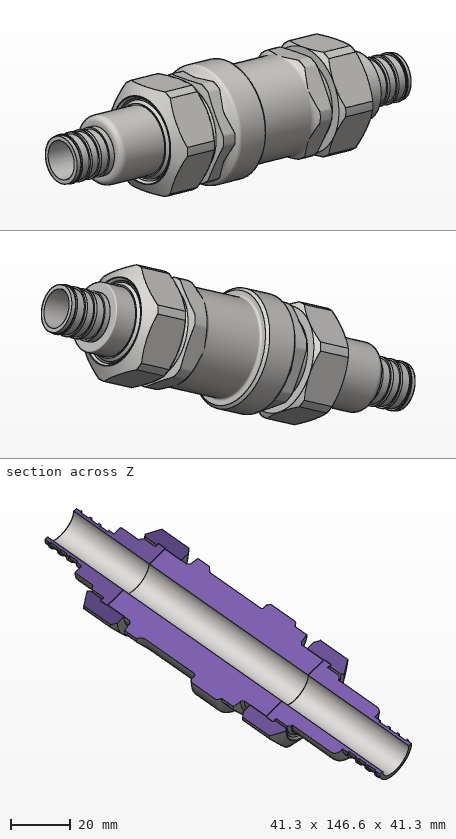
import cadquery as cq
import math

TOTAL_LENGTH = 146.6
HALF_LENGTH = TOTAL_LENGTH / 2
BORE_DIA = 13.5
FRONT = -1
REAR = 1

BODY_DIA = 34.6
COLLAR_DIA = 41.3
COLLAR_FRONT = -12.2
COLLAR_REAR = -0.3
COLLAR_CHAMFER = 1.0
COLLAR_EDGE_FILLET = 1.2
COLLAR_CONE_LENGTH = 2.2
COLLAR_FILLET = 0.9
HEX_FLATS = 34.7
HEX_CORNER_DIA = 38.1
HEX_CORNER_FILLET = 2.0
FRONT_HEX_END = -18.8
REAR_HEX_END = 29.8
HEX_END_CHAMFER = 0.5
HEX_END_CHAMFER_WIDTH = 2.3
REAR_HEX_LENGTH = 5.5
REAR_HEX_CONE_LENGTH = 1.5
CONE_FILLET = 1.8
CONE_RUNOUT = 1.5
NECK_DIA = 29.9
NECK_CHAMFER = 0.9
NECK_GAP = 3.2

NUT_LENGTH = 16.1
NUT_FLATS = 36.6
NUT_CORNER_DIA = 40.6
NUT_OUTER_FACE_DIA = 30.3
NUT_OUTER_CONE_LENGTH = 3.0
NUT_INNER_FACE_DIA = 36.6
NUT_INNER_CONE_LENGTH = 1.3
NECK_DEPTH = 7.3
FLANGE_THICKNESS = 3.0
NUT_HOLE_DIA = 28.3
NUT_HOLE_RIM_DIA = 29.9

SLEEVE_DIA = 24.0
SLEEVE_START = 16.1
SHOULDER_DIA = 27.0
SHOULDER_TIP_DIA = 25.0
FRONT_SLEEVE_FILLET = 2.2
REAR_SLEEVE_FILLET = 0.5
SPIGOT_DIA = 15.8
TIP_DIA = 16.4
RIB_DIA = 17.0
TIP_RIB = (1.6, 2.2)
MIDDLE_RIBS = [(5.5, 6.5), (9.5, 10.5)]
BASE_RIB = (13.9, SLEEVE_START)


def revolved(profile):
    """Revolve a closed (radius, y) outline about the Y axis."""
    return cq.Workplane("XY").polyline(profile).close().revolve(360, (0, 0), (0, 1))


def cylinder(diameter, y_start, y_end):
    """Solid cylinder on the Y axis between two stations."""
    radius = diameter / 2
    return revolved([(0, y_start), (radius, y_start), (radius, y_end), (0, y_end)])


def hexagon(flats, y_start, y_end):
    """Hexagonal bar on the Y axis with two of its flats facing +Z and -Z."""
    corner_to_corner = flats / math.cos(math.pi / 6)
    return (
        cq.Workplane("XZ", origin=(0, y_start, 0))
        .polygon(6, corner_to_corner)
        .extrude(y_start - y_end)
    )


def place_at_end(solid, end):
    """Turn a part that was built pointing along +Y to face the given end."""
    return solid if end == REAR else solid.rotate((0, 0, 0), (0, 0, 1), 180)


def fillet_circle(solid, station, radius):
    """Round the circular edge whose centre is at a station on the Y axis."""
    return solid.edges(cq.selectors.NearestToPointSelector((0, station, 0))).fillet(radius)


def make_housing():
    """Barrel with a collar, two hexagons, two necks and a bore right through."""
    body_r = BODY_DIA / 2
    collar_r = COLLAR_DIA / 2
    corner_r = HEX_CORNER_DIA / 2
    neck_r = NECK_DIA / 2
    hex_face_r = corner_r - HEX_END_CHAMFER_WIDTH
    collar_cone_end = COLLAR_FRONT - COLLAR_CONE_LENGTH
    hex_cone_start = REAR_HEX_END - REAR_HEX_LENGTH
    hex_cone_end = hex_cone_start - REAR_HEX_CONE_LENGTH
    rear_hex_start = hex_cone_end - CONE_RUNOUT

    def rounded_hexagon(y_start, y_end, envelope):
        bar = hexagon(HEX_FLATS, y_start, y_end).intersect(cylinder(HEX_CORNER_DIA, y_start, y_end))
        return bar.edges("|Y").fillet(HEX_CORNER_FILLET).intersect(envelope)

    collar_barrel = (
        cq.Workplane("XY")
        .moveTo(0, collar_cone_end - CONE_RUNOUT)
        .lineTo(body_r, collar_cone_end - CONE_RUNOUT)
        .lineTo(body_r, collar_cone_end)
        .lineTo(collar_r, COLLAR_FRONT)
        .lineTo(collar_r, COLLAR_REAR - COLLAR_CHAMFER)
        .lineTo(collar_r - COLLAR_CHAMFER, COLLAR_REAR)
        .lineTo(body_r + COLLAR_FILLET, COLLAR_REAR)
        .radiusArc((body_r, COLLAR_REAR + COLLAR_FILLET), COLLAR_FILLET)
        .lineTo(body_r, rear_hex_start)
        .lineTo(0, rear_hex_start)
        .close()
        .revolve(360, (0, 0), (0, 1))
    )
    collar_barrel = fillet_circle(collar_barrel, collar_cone_end, CONE_FILLET)
    collar_barrel = fillet_circle(collar_barrel, COLLAR_FRONT, COLLAR_EDGE_FILLET)

    front_envelope = revolved([
        (0, FRONT_HEX_END),
        (hex_face_r, FRONT_HEX_END),
        (corner_r, FRONT_HEX_END + HEX_END_CHAMFER),
        (corner_r, COLLAR_FRONT),
        (0, COLLAR_FRONT),
    ])
    rear_envelope = revolved([
        (0, REAR_HEX_END),
        (hex_face_r, REAR_HEX_END),
        (corner_r, REAR_HEX_END - HEX_END_CHAMFER),
        (corner_r, hex_cone_start),
        (body_r, hex_cone_end),
        (body_r, rear_hex_start),
        (0, rear_hex_start),
    ])
    rear_envelope = fillet_circle(rear_envelope, hex_cone_end, CONE_FILLET)
    housing = collar_barrel.union(rounded_hexagon(FRONT_HEX_END, COLLAR_FRONT, front_envelope))
    housing = housing.union(rounded_hexagon(rear_hex_start, REAR_HEX_END, rear_envelope))

    for end, hex_end in ((FRONT, -FRONT_HEX_END), (REAR, REAR_HEX_END)):
        neck_end = hex_end + NECK_GAP + NECK_DEPTH
        neck = revolved([
            (0, hex_end),
            (neck_r + NECK_CHAMFER, hex_end),
            (neck_r, hex_end + NECK_CHAMFER),
            (neck_r, neck_end),
            (0, neck_end),
        ])
        housing = housing.union(place_at_end(neck, end))
    bore = cylinder(BORE_DIA, -HALF_LENGTH, HALF_LENGTH)
    return housing.cut(bore)


def make_nut(end, hex_end):
    """Union nut for the given end, next to the hexagon that ends at station hex_end."""
    inner = hex_end + NECK_GAP
    outer = inner + NUT_LENGTH
    corner_r = NUT_CORNER_DIA / 2
    envelope = revolved([
        (0, inner),
        (NUT_INNER_FACE_DIA / 2, inner),
        (corner_r, inner + NUT_INNER_CONE_LENGTH),
        (corner_r, outer - NUT_OUTER_CONE_LENGTH),
        (NUT_OUTER_FACE_DIA / 2, outer),
        (0, outer),
    ])
    cavity = cylinder(NECK_DIA, inner, inner + NECK_DEPTH + FLANGE_THICKNESS)
    hole_r = NUT_HOLE_DIA / 2
    rim_r = NUT_HOLE_RIM_DIA / 2
    hole = revolved([
        (0, inner),
        (hole_r, inner),
        (hole_r, outer - (rim_r - hole_r)),
        (rim_r, outer),
        (0, outer),
    ])
    nut = hexagon(NUT_FLATS, inner, outer).intersect(envelope)
    return place_at_end(nut.cut(cavity).cut(hole), end)


def make_tail(end, hex_end, sleeve_fillet):
    """Hose tail with its flange held between the housing neck and the nut."""
    flange_start = hex_end + NECK_GAP + NECK_DEPTH
    nut_face = hex_end + NECK_GAP + NUT_LENGTH
    sleeve_end = HALF_LENGTH - SLEEVE_START
    sleeve = cylinder(SLEEVE_DIA, flange_start, sleeve_end).faces(">Y").edges().fillet(sleeve_fillet)
    tail = sleeve.union(cylinder(NECK_DIA, flange_start, flange_start + FLANGE_THICKNESS))
    shoulder_r = SHOULDER_DIA / 2
    shoulder_tip_r = SHOULDER_TIP_DIA / 2
    tail = tail.union(revolved([
        (0, flange_start),
        (shoulder_r, flange_start),
        (shoulder_r, nut_face - (shoulder_r - shoulder_tip_r)),
        (shoulder_tip_r, nut_face),
        (0, nut_face),
    ]))
    tail = tail.union(cylinder(SPIGOT_DIA, flange_start, HALF_LENGTH))
    tail = tail.union(cylinder(TIP_DIA, HALF_LENGTH - TIP_RIB[0], HALF_LENGTH))
    for near, far in [TIP_RIB, *MIDDLE_RIBS, BASE_RIB]:
        tail = tail.union(cylinder(RIB_DIA, HALF_LENGTH - far, HALF_LENGTH - near))
    bore = cylinder(BORE_DIA, flange_start, HALF_LENGTH)
    return place_at_end(tail.cut(bore), end)


housing = make_housing()
nuts = []
tails = []
for end, hex_end, sleeve_fillet in (
    (FRONT, -FRONT_HEX_END, FRONT_SLEEVE_FILLET),
    (REAR, REAR_HEX_END, REAR_SLEEVE_FILLET),
):
    nuts.append(make_nut(end, hex_end).val())
    tails.append(make_tail(end, hex_end, sleeve_fillet).val())

result = cq.Compound.makeCompound([housing.val(), *nuts, *tails])